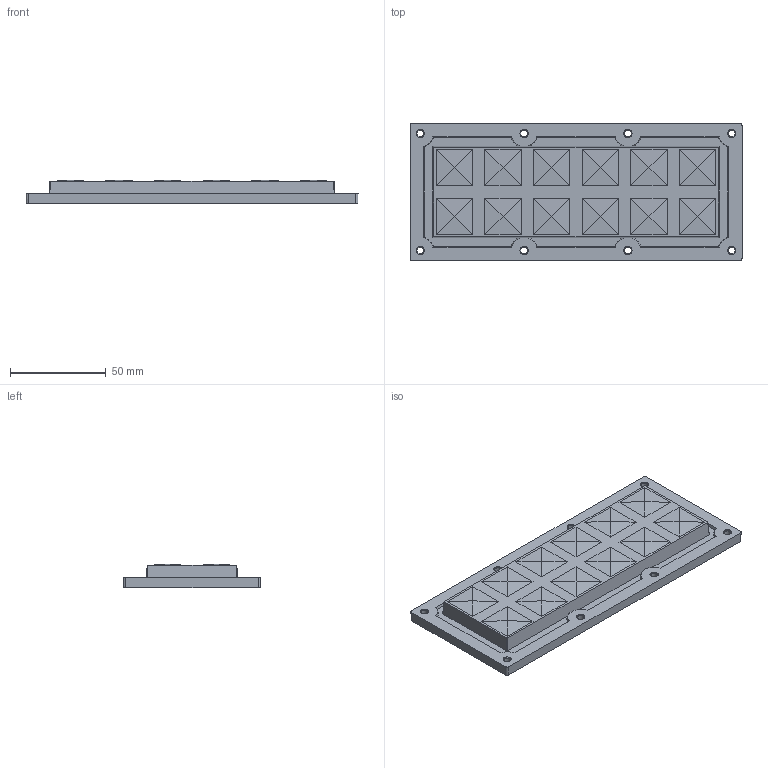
import cadquery as cq

plate_length = 173.38
plate_width = 71.78
plate_thickness = 5.4
plate_draft_angle = 1.0
plate_corner_radius = 1.1

block_margin = 11.93
block_length = plate_length - 2 * block_margin
block_width = plate_width - 2 * block_margin
block_top = 11.75
block_draft_angle = 4.0
block_corner_radius = 0.4

pyramid_base = 19.05
pyramid_pitch = 25.4
pyramid_columns = 6
pyramid_rows = 2
overall_height = 12.25
pyramid_height = overall_height - block_top

hole_diameter = 3.5
hole_chamfer = 0.4
hole_chamfer_angle = 45.0
hole_inset = 5.35
hole_columns = 4
hole_rows = 2
hole_pitch_x = (plate_length - 2 * hole_inset) / (hole_columns - 1)
hole_pitch_y = plate_width - 2 * hole_inset

recess_margin = 6.95
recess_length = plate_length - 2 * recess_margin
recess_width = plate_width - 2 * recess_margin
recess_depth = 1.35
recess_draft_angle = 15.0
screw_boss_radius = 6.8


def plate_top_plane():
    return cq.Workplane("XY").workplane(offset=plate_thickness)


def hole_layout(workplane):
    return workplane.rarray(hole_pitch_x, hole_pitch_y, hole_columns, hole_rows)


def fillet_upright_edges(body, radius):
    """Round the four corner edges, which lean slightly because of the draft."""
    return body.edges("not (<Z or >Z)").fillet(radius)


def make_plate():
    outline = plate_top_plane().rect(plate_length, plate_width)
    plate = outline.extrude(-plate_thickness, taper=plate_draft_angle)
    return fillet_upright_edges(plate, plate_corner_radius)


def make_recess():
    """Volume cut from the plate top: a rectangle less a tapered disc around each hole."""
    top = plate_top_plane()
    pocket = top.rect(recess_length, recess_width).extrude(-recess_depth, taper=recess_draft_angle)
    bosses = hole_layout(top).circle(screw_boss_radius).extrude(-recess_depth, taper=-recess_draft_angle)
    return pocket.cut(bosses)


def make_block():
    """Block standing on the recess floor."""
    bottom = plate_thickness - recess_depth
    block = cq.Workplane("XY").workplane(offset=bottom).rect(block_length, block_width)
    block = block.extrude(block_top - bottom, taper=block_draft_angle)
    return fillet_upright_edges(block, block_corner_radius)


def make_pyramid(x, y):
    """Square pyramid on the block top, centred at (x, y)."""
    half = pyramid_base / 2
    corners = [
        cq.Vector(x - half, y - half, block_top),
        cq.Vector(x + half, y - half, block_top),
        cq.Vector(x + half, y + half, block_top),
        cq.Vector(x - half, y + half, block_top),
    ]
    apex = cq.Vector(x, y, block_top + pyramid_height)
    faces = [cq.Face.makeFromWires(cq.Wire.makePolygon(corners, close=True))]
    for start, end in zip(corners, corners[1:] + corners[:1]):
        side = cq.Wire.makePolygon([start, end, apex], close=True)
        faces.append(cq.Face.makeFromWires(side))
    return cq.Workplane(obj=cq.Solid.makeSolid(cq.Shell.makeShell(faces)))


def add_pyramids(body):
    for column in range(pyramid_columns):
        x = (column - (pyramid_columns - 1) / 2) * pyramid_pitch
        for row in range(pyramid_rows):
            y = (row - (pyramid_rows - 1) / 2) * pyramid_pitch
            body = body.union(make_pyramid(x, y))
    return body


def make_holes():
    """Through holes with a conical lead-in at the plate top."""
    shafts = hole_layout(cq.Workplane("XY")).circle(hole_diameter / 2).extrude(plate_thickness)
    mouths = hole_layout(plate_top_plane()).circle(hole_diameter / 2 + hole_chamfer)
    return shafts.union(mouths.extrude(-hole_chamfer, taper=hole_chamfer_angle))


body = make_plate().cut(make_recess()).cut(make_holes()).union(make_block())
result = add_pyramids(body)